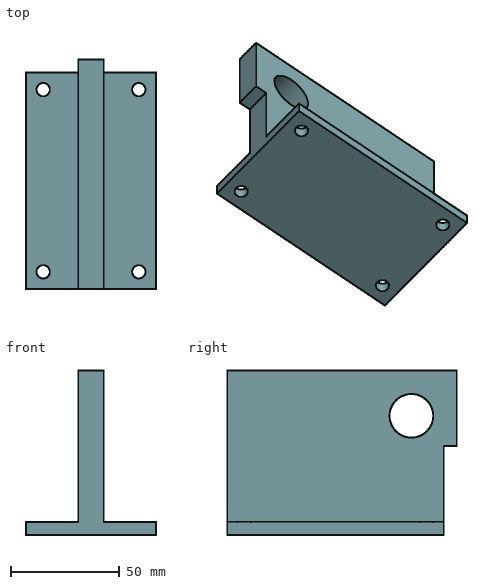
import cadquery as cq

total_length = 106.0
base_width = 60.0
total_height = 76.0

base_thickness = 6.0
wall_thickness = 12.0
overhang = 6.0
overhang_height = 35.0
base_length = total_length - overhang

mount_diameter = 6.0
mount_edge_distance = 8.0

bore_diameter = 20.0
bore_edge_distance = 21.0


def make_base():
    """Flat plate with a mounting hole near each corner."""
    plate = cq.Workplane("XY").box(
        base_width, base_length, base_thickness, centered=(True, False, False)
    )
    return (
        plate.faces(">Z")
        .workplane(origin=(0, base_length / 2, base_thickness))
        .rect(
            base_width - 2 * mount_edge_distance,
            base_length - 2 * mount_edge_distance,
            forConstruction=True,
        )
        .vertices()
        .hole(mount_diameter)
    )


def make_wall():
    """Central wall whose upper part overhangs the +Y end of the base."""
    outline = [
        (0, 0),
        (base_length, 0),
        (base_length, total_height - overhang_height),
        (total_length, total_height - overhang_height),
        (total_length, total_height),
        (0, total_height),
    ]
    wall = cq.Workplane("YZ").polyline(outline).close().extrude(wall_thickness / 2, both=True)
    bore = (
        cq.Workplane("YZ")
        .center(total_length - bore_edge_distance, total_height - bore_edge_distance)
        .circle(bore_diameter / 2)
        .extrude(wall_thickness, both=True)
    )
    return wall.cut(bore)


result = make_base().union(make_wall())